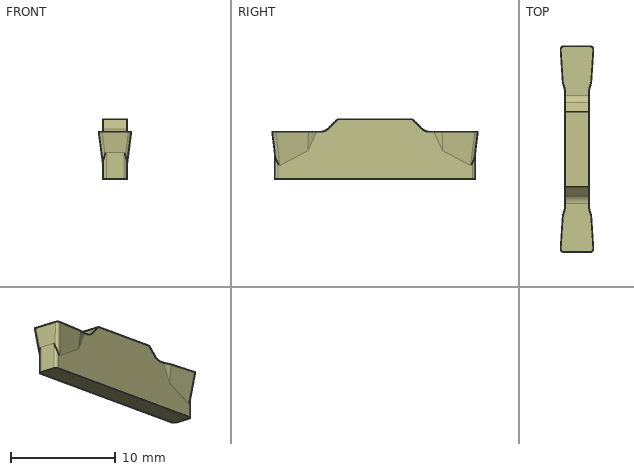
import cadquery as cq
import math

length = 19.77
height = 5.75
body_width = 2.31

land_height = 4.57
head_tip_width = 3.2
relief_angle = 7.0
side_taper_angle = 3.7
flank_length = 3.45
rear_flank_end = 4.25
corner_radius = 0.32

crest_setback = 6.29
ramp_angle = 45.0
ramp_root_radius = 1.0

end_wall_height = 2.57
end_setback = (land_height - end_wall_height) * math.tan(math.radians(relief_angle))


def make_body():
    """Straight bar with a raised crest, ramps at both sides of it and rounded vertical edges."""
    body_end = length / 2 - end_setback
    crest_end = length / 2 - crest_setback
    ramp_run = (height - land_height) / math.tan(math.radians(ramp_angle))
    ramp_foot = crest_end + ramp_run
    body = (
        cq.Workplane("YZ")
        .polyline([
            (-body_end, 0),
            (body_end, 0),
            (body_end, land_height),
            (ramp_foot, land_height),
            (crest_end, height),
            (-crest_end, height),
            (-ramp_foot, land_height),
            (-body_end, land_height),
        ])
        .close()
        .extrude(body_width / 2, both=True)
    )
    ramp_roots = [(0, side * ramp_foot, land_height) for side in (-1, 1)]
    for root in ramp_roots:
        body = body.edges(cq.selectors.NearestToPointSelector(root)).fillet(ramp_root_radius)
    return body.edges("|Z").fillet(corner_radius)


def make_head():
    """Head at the -Y end: a tapered outline whose walls all lean inward going down."""
    tip = -length / 2
    tip_half = head_tip_width / 2
    break_half = tip_half - flank_length * math.tan(math.radians(side_taper_angle))
    body_half = body_width / 2
    rear_slope = (break_half - body_half) / (rear_flank_end - flank_length)

    buried_end = crest_setback - (height - land_height) / math.tan(math.radians(ramp_angle))
    buried_half = break_half - rear_slope * (buried_end - flank_length)

    right_side = [
        (tip_half, tip),
        (break_half, tip + flank_length),
        (buried_half, tip + buried_end),
    ]
    left_side = [(-x, y) for x, y in reversed(right_side)]
    head = (
        cq.Workplane("XY", origin=(0, 0, land_height))
        .polyline(right_side + left_side)
        .close()
        .extrude(-land_height, taper=relief_angle)
    )
    return head.faces("<Y").edges("not #Z").fillet(corner_radius)


head = make_head()
opposite_head = head.mirror("XZ")
result = make_body().union(head).union(opposite_head)